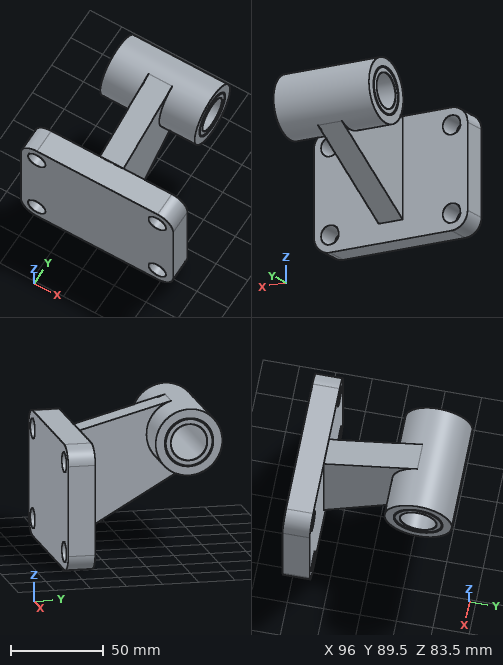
import cadquery as cq
import math

plate_width = 96.0
plate_height = 70.0
plate_thickness = 15.0
corner_radius = 10.0
bolt_hole_diameter = 11.0
bolt_spacing_x = plate_width - 2 * corner_radius
bolt_spacing_z = plate_height - 2 * corner_radius

barrel_diameter = 37.0
barrel_length = 59.6
barrel_radius = barrel_diameter / 2
barrel_y = 71.0
barrel_z = 65.0

bore_diameter = 20.0
bushing_diameter = 26.0
barrel_chamfer = 0.5
bushing_chamfer = 0.2

web_thickness = plate_thickness
upper_edge_angle = math.radians(15)
lower_edge_angle = math.radians(30)


def make_plate():
    """Rounded plate with a bolt hole concentric with each corner."""
    center = (0, 0, plate_height / 2)
    plate = (
        cq.Workplane("XZ", origin=center)
        .rect(plate_width, plate_height)
        .extrude(-plate_thickness)
        .edges("|Y")
        .fillet(corner_radius)
    )
    holes = (
        cq.Workplane("XZ", origin=center)
        .rect(bolt_spacing_x, bolt_spacing_z, forConstruction=True)
        .vertices()
        .circle(bolt_hole_diameter / 2)
        .extrude(-plate_thickness)
    )
    return plate.cut(holes)


def make_x_cylinder(diameter):
    """Cylinder on the barrel axis, as long as the barrel."""
    return (
        cq.Workplane("YZ", origin=(0, barrel_y, barrel_z))
        .circle(diameter / 2)
        .extrude(barrel_length / 2, both=True)
    )


def make_web():
    """Tapered web from the plate to the tangent points on the barrel."""
    upper_y = barrel_y - barrel_radius * math.sin(upper_edge_angle)
    upper_z = barrel_z + barrel_radius * math.cos(upper_edge_angle)
    lower_y = barrel_y + barrel_radius * math.sin(lower_edge_angle)
    lower_z = barrel_z - barrel_radius * math.cos(lower_edge_angle)
    root_top_z = upper_z - (upper_y - plate_thickness) * math.tan(upper_edge_angle)
    root_bottom_z = lower_z - (lower_y - plate_thickness) * math.tan(lower_edge_angle)
    return (
        cq.Workplane("YZ")
        .moveTo(plate_thickness, root_bottom_z)
        .lineTo(lower_y, lower_z)
        .lineTo(upper_y, upper_z)
        .lineTo(plate_thickness, root_top_z)
        .close()
        .extrude(web_thickness / 2, both=True)
    )


def make_joint_groove(end):
    """V groove around the bushing at one barrel end (end is -1 or +1)."""
    face_x = end * barrel_length / 2
    joint_radius = bushing_diameter / 2
    return (
        cq.Workplane("XY", origin=(0, barrel_y, barrel_z))
        .moveTo(face_x, joint_radius - bushing_chamfer)
        .lineTo(face_x, joint_radius + barrel_chamfer)
        .lineTo(face_x - end * barrel_chamfer, joint_radius)
        .close()
        .revolve(360, (0, 0, 0), (1, 0, 0))
    )


def make_bore_chamfer(end):
    """Cone that breaks the bore edge at one barrel end (end is -1 or +1)."""
    face_x = end * barrel_length / 2
    bore_radius = bore_diameter / 2
    return (
        cq.Workplane("XY", origin=(0, barrel_y, barrel_z))
        .moveTo(face_x, 0)
        .lineTo(face_x, bore_radius + bushing_chamfer)
        .lineTo(face_x - end * bushing_chamfer, bore_radius)
        .lineTo(face_x - end * bushing_chamfer, 0)
        .close()
        .revolve(360, (0, 0, 0), (1, 0, 0))
    )


result = make_plate().union(make_web()).union(make_x_cylinder(barrel_diameter))
result = result.cut(make_x_cylinder(bore_diameter))
for end in (-1, 1):
    result = result.cut(make_joint_groove(end)).cut(make_bore_chamfer(end))